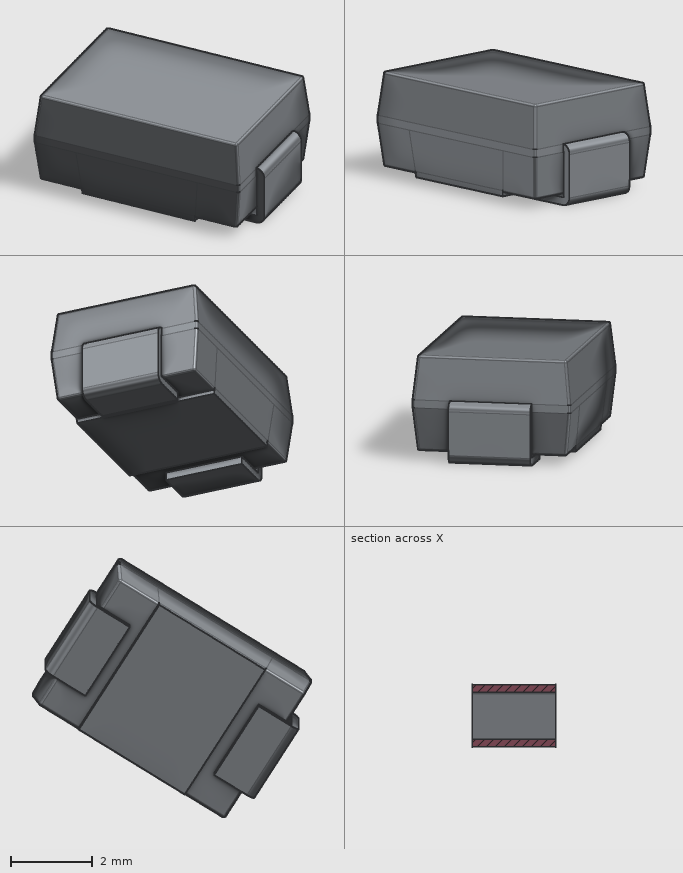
import cadquery as cq
import math

overall_length = 6.03
overall_height = 2.62

lead_thickness = 0.2
lead_width = 2.04
bend_inner_radius = 0.025
bend_outer_radius = bend_inner_radius + lead_thickness
foot_length = 1.16

housing_length = overall_length - 2 * bend_outer_radius
housing_width = 3.94
taper_height = 1.085
draft_angle = 6.0
taper_edge_radius = 0.06
band_edge_radius = 0.04
band_top = overall_height - taper_height
band_bottom = band_top - lead_thickness

pedestal_top_length = 3.305
pedestal_bottom = 0.145


def tapered_block(length, width, start_z, height):
    """Block that narrows by the draft angle away from start_z; a negative height goes down."""
    return (
        cq.Workplane("XY", origin=(0, 0, start_z))
        .rect(length, width)
        .extrude(height, taper=draft_angle)
    )


def make_housing():
    """Moulded housing with rounded edges and a full-width pedestal underneath."""
    band = (
        cq.Workplane("XY", origin=(0, 0, band_bottom))
        .rect(housing_length, housing_width)
        .extrude(lead_thickness)
        .edges("|Z")
        .fillet(band_edge_radius)
    )
    upper_half = (
        tapered_block(housing_length, housing_width, band_top, taper_height)
        .edges("not(<Z)")
        .fillet(taper_edge_radius)
    )
    lower_half = upper_half.mirror("XY", (0, 0, (band_top + band_bottom) / 2))
    pedestal = tapered_block(
        pedestal_top_length, housing_width, band_bottom, pedestal_bottom - band_bottom
    )
    return (
        band.union(upper_half, clean=False)
        .union(lower_half, clean=False)
        .union(pedestal, clean=False)
    )


def make_lead(side):
    """C-shaped strip from the housing end face down to the foot; side is -1 or +1 along X."""
    outer_x = -overall_length / 2
    inner_x = outer_x + lead_thickness
    bend_x = outer_x + bend_outer_radius
    tip_x = outer_x + foot_length
    lower_bend_z = bend_outer_radius
    upper_bend_z = band_top - bend_outer_radius
    diagonal = math.sqrt(0.5)
    outer_reach = bend_outer_radius * diagonal
    inner_reach = bend_inner_radius * diagonal

    lead = (
        cq.Workplane("XZ")
        .moveTo(tip_x, 0)
        .lineTo(bend_x, 0)
        .threePointArc((bend_x - outer_reach, lower_bend_z - outer_reach), (outer_x, lower_bend_z))
        .lineTo(outer_x, upper_bend_z)
        .threePointArc((bend_x - outer_reach, upper_bend_z + outer_reach), (bend_x, band_top))
        .lineTo(bend_x, band_bottom)
        .threePointArc((bend_x - inner_reach, upper_bend_z + inner_reach), (inner_x, upper_bend_z))
        .lineTo(inner_x, lower_bend_z)
        .threePointArc((bend_x - inner_reach, lower_bend_z - inner_reach), (bend_x, lead_thickness))
        .lineTo(tip_x, lead_thickness)
        .close()
        .extrude(lead_width / 2, both=True)
    )
    return lead if side < 0 else lead.mirror("YZ")


housing = make_housing()
leads = [make_lead(side) for side in (-1, 1)]

result = cq.Compound.makeCompound([housing.val(), *[lead.val() for lead in leads]])